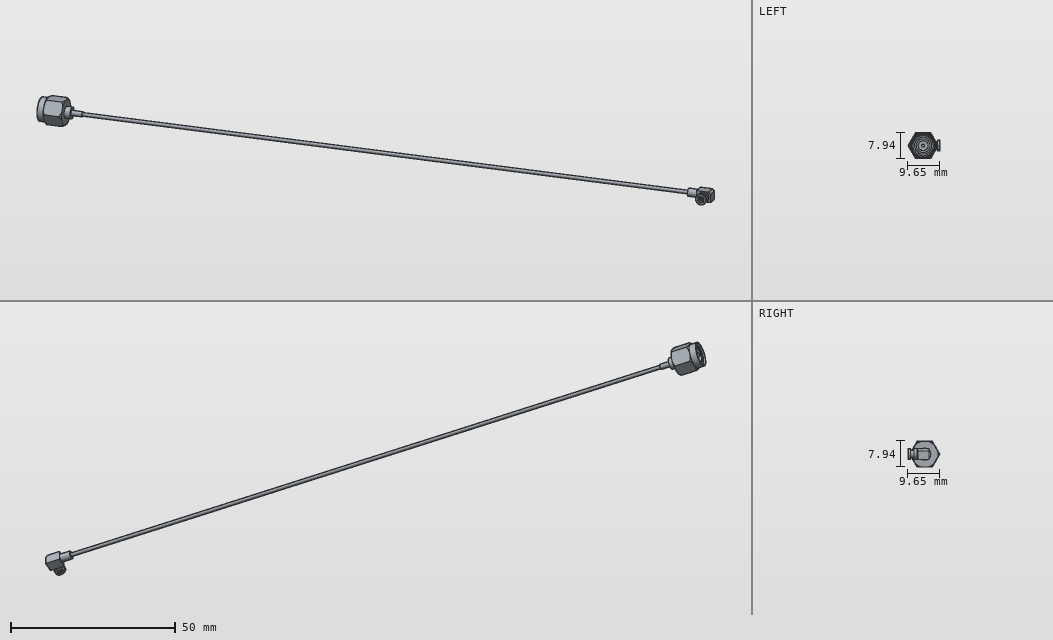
import cadquery as cq
import math

TOTAL_LENGTH = 218.57

HEX_ACROSS_FLATS = 7.94
HEX_ACROSS_CORNERS = HEX_ACROSS_FLATS / math.cos(math.pi / 6)
HEX_CHAMFER = 0.55
HEX_START = 2.1
HEX_LENGTH = 6.0
RIM_DIAMETER = 7.6
COLLAR_DIAMETER = 3.7
COLLAR_END = 10.0
FERRULE_DIAMETER = 1.7
FERRULE_END = 13.4

SOCKET_DIAMETER = 6.2
SOCKET_DEPTH = 4.0
SOCKET_CHAMFER = 0.4
INSERT_DIAMETER = 5.2
INSERT_BORE_DIAMETER = 4.2
INSERT_RECESS = 0.6
DIELECTRIC_DIAMETER = 3.0
DIELECTRIC_RECESS = 1.2
PIN_DIAMETER = 0.9
PIN_RECESS = 0.3

CABLE_DIAMETER = 1.2

BLOCK_LENGTH = 4.6
BLOCK_HEIGHT = 3.3
BLOCK_BACK = 1.35
BLOCK_FRONT = 2.1
BLOCK_CHAMFER = 0.72
SLEEVE_DIAMETER = 2.6
SLEEVE_LENGTH = 3.3
SNOUT_SETBACK = 2.1
SNOUT_TIP = 5.07
SNOUT_DIAMETER = 3.4
SNOUT_NECK_DIAMETER = 2.4
SNOUT_FLANGE_START = 2.3
SNOUT_FLANGE_END = 3.3
SNOUT_RIM_START = 4.3
SNOUT_BORE_DIAMETER = 2.0
SNOUT_BORE_DEPTH = 2.0
SNOUT_DIELECTRIC_DIAMETER = 1.4
SNOUT_DIELECTRIC_RECESS = 0.8
SNOUT_PIN_DIAMETER = 0.5
SNOUT_PIN_RECESS = 0.3

HEX_END = HEX_START + HEX_LENGTH
BLOCK_START = TOTAL_LENGTH - BLOCK_LENGTH
SLEEVE_START = BLOCK_START - SLEEVE_LENGTH
SNOUT_X = TOTAL_LENGTH - SNOUT_SETBACK


def turned(stations):
    """Solid of revolution about X; stations are (x, diameter) pairs along the outline."""
    outline = [(stations[0][0], 0)]
    outline += [(x, diameter / 2) for x, diameter in stations]
    outline.append((stations[-1][0], 0))
    return cq.Workplane("XZ").polyline(outline).close().revolve(360, (0, 0, 0), (1, 0, 0))


def rod(diameter, start, end):
    """Cylinder on the cable axis between two X positions."""
    return turned([(start, diameter), (end, diameter)])


def snout_rod(diameter, start, end):
    """Cylinder on the snout axis between two distances from the cable axis."""
    return cq.Workplane("XZ", origin=(SNOUT_X, -start, 0)).circle(diameter / 2).extrude(end - start)


def hex_nut():
    """Hexagon with flats facing +Z and -Z and corners turned down at both ends."""
    prism = (
        cq.Workplane("YZ", origin=(HEX_START, 0, 0))
        .polygon(6, HEX_ACROSS_CORNERS)
        .extrude(HEX_LENGTH)
    )
    end_diameter = HEX_ACROSS_CORNERS - 2 * HEX_CHAMFER
    envelope = turned(
        [
            (HEX_START, end_diameter),
            (HEX_START + HEX_CHAMFER, HEX_ACROSS_CORNERS),
            (HEX_END - HEX_CHAMFER, HEX_ACROSS_CORNERS),
            (HEX_END, end_diameter),
        ]
    )
    return prism.intersect(envelope)


def socket():
    """Hollow in the mating face, with a chamfered mouth."""
    return turned(
        [
            (0, SOCKET_DIAMETER + 2 * SOCKET_CHAMFER),
            (SOCKET_CHAMFER, SOCKET_DIAMETER),
            (SOCKET_DEPTH, SOCKET_DIAMETER),
        ]
    )


def straight_plug():
    insert = rod(INSERT_DIAMETER, INSERT_RECESS, SOCKET_DEPTH)
    insert_bore = rod(INSERT_BORE_DIAMETER, INSERT_RECESS, SOCKET_DEPTH)
    return (
        hex_nut()
        .union(rod(RIM_DIAMETER, 0, HEX_START))
        .union(rod(COLLAR_DIAMETER, HEX_END, COLLAR_END))
        .union(rod(FERRULE_DIAMETER, COLLAR_END, FERRULE_END))
        .cut(socket())
        .union(insert.cut(insert_bore))
        .union(rod(DIELECTRIC_DIAMETER, DIELECTRIC_RECESS, SOCKET_DEPTH))
        .union(rod(PIN_DIAMETER, PIN_RECESS, SOCKET_DEPTH))
    )


def cable():
    """Round cable running from the ferrule to the right-angle plug's sleeve."""
    return rod(CABLE_DIAMETER, FERRULE_END, SLEEVE_START)


def block():
    """Body of the right-angle plug, chamfered along its upper far edge."""
    return (
        cq.Workplane("XY")
        .box(BLOCK_LENGTH, BLOCK_BACK + BLOCK_FRONT, BLOCK_HEIGHT, centered=(False, False, True))
        .translate((BLOCK_START, -BLOCK_FRONT, 0))
        .edges(">X and >Z")
        .chamfer(BLOCK_CHAMFER)
    )


def snout():
    """Mating end of the right-angle plug: neck, flange, rim and the contact in its bore."""
    bore_floor = SNOUT_TIP - SNOUT_BORE_DEPTH
    dielectric_end = SNOUT_TIP - SNOUT_DIELECTRIC_RECESS
    pin_end = SNOUT_TIP - SNOUT_PIN_RECESS
    return (
        snout_rod(SNOUT_NECK_DIAMETER, BLOCK_FRONT, SNOUT_TIP)
        .union(snout_rod(SNOUT_DIAMETER, SNOUT_FLANGE_START, SNOUT_FLANGE_END))
        .union(snout_rod(SNOUT_DIAMETER, SNOUT_RIM_START, SNOUT_TIP))
        .cut(snout_rod(SNOUT_BORE_DIAMETER, bore_floor, SNOUT_TIP))
        .union(snout_rod(SNOUT_DIELECTRIC_DIAMETER, bore_floor, dielectric_end))
        .union(snout_rod(SNOUT_PIN_DIAMETER, bore_floor, pin_end))
    )


def right_angle_plug():
    sleeve = rod(SLEEVE_DIAMETER, SLEEVE_START, BLOCK_START)
    return block().union(sleeve).union(snout())


result = cq.Compound.makeCompound(
    [straight_plug().val(), cable().val(), right_angle_plug().val()]
)